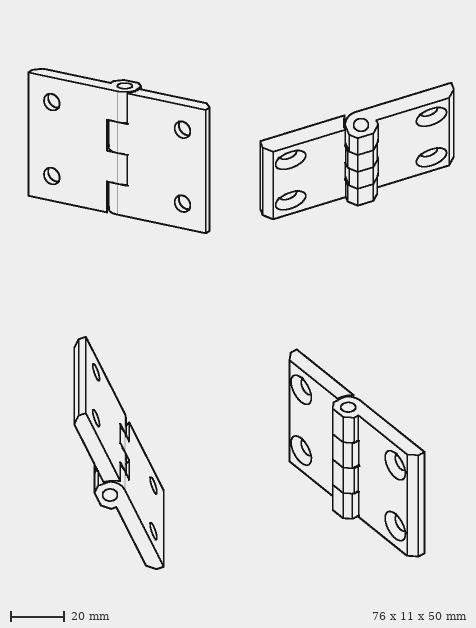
import cadquery as cq
import math

width = 76.0
length = 50.0
half_width = width / 2
plate_thickness = 6.0
total_thickness = 11.0
edge_chamfer = 3.05

knuckle_count = 4
knuckle_length = length / knuckle_count
knuckle_root = 6.1
knuckle_reach = 5.6
crown_half_width = 3.1
knuckle_radius = plate_thickness
bore_diameter = 5.55

recess_back = 6.3
recess_front = 4.25

screw_x = 28.0
screw_z = 15.0
screw_diameter = 6.6
countersink_diameter = 12.0
countersink_angle = 90.0


def quarter_bottom(index):
    """Height of the lower end of a quarter, counted from the bottom."""
    return -length / 2 + index * knuckle_length


def plate():
    """Left-hand plate, from the hinge axis to its chamfered outer edge."""
    return (
        cq.Workplane("XY", origin=(0, 0, -length / 2))
        .moveTo(0, 0)
        .lineTo(-half_width, 0)
        .lineTo(-half_width, plate_thickness - edge_chamfer)
        .lineTo(-half_width + edge_chamfer, plate_thickness)
        .lineTo(0, plate_thickness)
        .close()
        .extrude(length)
    )


def knuckle(bottom):
    """Knuckle of the left leaf: a bevelled crown at the back and a round at the front."""
    root_bevel = knuckle_root - crown_half_width
    reach_bevel = knuckle_reach - crown_half_width
    round_end_y = plate_thickness - math.sqrt(knuckle_radius**2 - knuckle_reach**2)
    return (
        cq.Workplane("XY", origin=(0, 0, bottom))
        .moveTo(-knuckle_root, 0)
        .lineTo(0, 0)
        .radiusArc((knuckle_reach, round_end_y), -knuckle_radius)
        .lineTo(knuckle_reach, total_thickness - reach_bevel)
        .lineTo(crown_half_width, total_thickness)
        .lineTo(-crown_half_width, total_thickness)
        .lineTo(-knuckle_root, total_thickness - root_bevel)
        .close()
        .extrude(knuckle_length)
    )


def knuckle_recess(bottom):
    """Space in the left leaf for a knuckle of the right leaf, with a concave wall."""
    inset = recess_back - recess_front
    wall_radius = (inset**2 + plate_thickness**2) / (2 * inset)
    return (
        cq.Workplane("XY", origin=(0, 0, bottom))
        .moveTo(0, 0)
        .lineTo(-recess_front, 0)
        .radiusArc((-recess_back, plate_thickness), wall_radius)
        .lineTo(0, plate_thickness)
        .close()
        .extrude(knuckle_length)
    )


def screw_hole(z):
    """Through hole with a conical countersink opening at the back face."""
    hole_radius = screw_diameter / 2
    sink_radius = countersink_diameter / 2
    sink_depth = (sink_radius - hole_radius) / math.tan(math.radians(countersink_angle / 2))
    return (
        cq.Workplane("XY", origin=(-screw_x, 0, z))
        .lineTo(hole_radius, 0)
        .lineTo(hole_radius, plate_thickness - sink_depth)
        .lineTo(sink_radius, plate_thickness)
        .lineTo(0, plate_thickness)
        .close()
        .revolve(360, (0, 0, 0), (0, 1, 0))
    )


def pin_bore():
    """Bore for a hinge pin along the full length of the axis."""
    return (
        cq.Workplane("XY", origin=(0, plate_thickness, -length / 2))
        .circle(bore_diameter / 2)
        .extrude(length)
    )


def left_leaf():
    """Leaf on the -X side, with knuckles in the second and fourth quarters from the bottom."""
    leaf = plate()
    for index in range(knuckle_count):
        bottom = quarter_bottom(index)
        if index % 2 == 1:
            leaf = leaf.union(knuckle(bottom))
        else:
            leaf = leaf.cut(knuckle_recess(bottom))
    for z in (-screw_z, screw_z):
        leaf = leaf.cut(screw_hole(z))
    return leaf.cut(pin_bore())


def right_leaf():
    """The same leaf turned over: half a turn about the Y direction."""
    return left_leaf().rotate((0, 0, 0), (0, 1, 0), 180)


leaves = [left_leaf(), right_leaf()]
result = cq.Compound.makeCompound([leaf.val() for leaf in leaves])